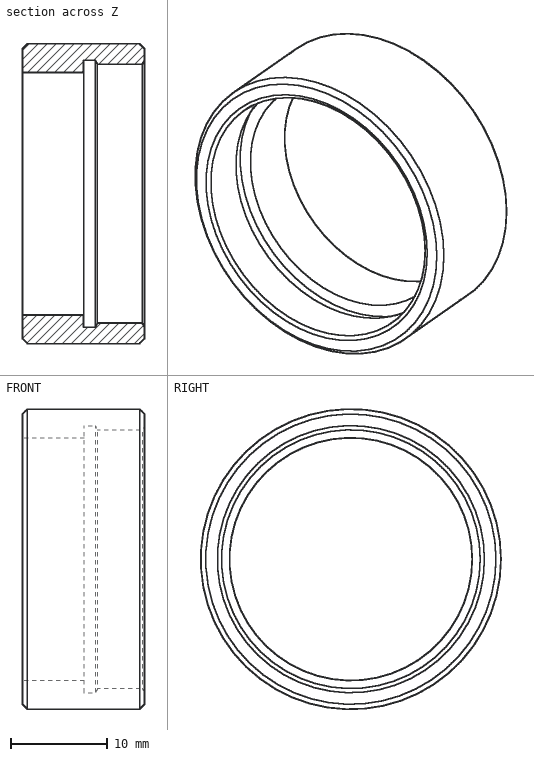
import cadquery as cq
import math

width = 12.7
outer_radius = 31.25 / 2
bore_radius = 25.2 / 2
counterbore_radius = 26.9 / 2
groove_radius = 27.77 / 2
outer_chamfer = 0.53

shoulder_x = 6.37
groove_floor_width = 1.2
flank_angle = 30

flank_height = groove_radius - counterbore_radius
flank_width = flank_height * math.tan(math.radians(flank_angle))
groove_floor_end_x = shoulder_x + groove_floor_width
groove_end_x = groove_floor_end_x + flank_width
mouth_start_x = width - flank_width

half_section = (
    cq.Workplane("XY")
    .moveTo(0, bore_radius)
    .lineTo(shoulder_x, bore_radius)
    .lineTo(shoulder_x, groove_radius)
    .lineTo(groove_floor_end_x, groove_radius)
    .lineTo(groove_end_x, counterbore_radius)
    .lineTo(mouth_start_x, counterbore_radius)
    .lineTo(width, groove_radius)
    .lineTo(width, outer_radius - outer_chamfer)
    .lineTo(width - outer_chamfer, outer_radius)
    .lineTo(outer_chamfer, outer_radius)
    .lineTo(0, outer_radius - outer_chamfer)
    .close()
)

result = half_section.revolve(360, (0, 0, 0), (1, 0, 0))